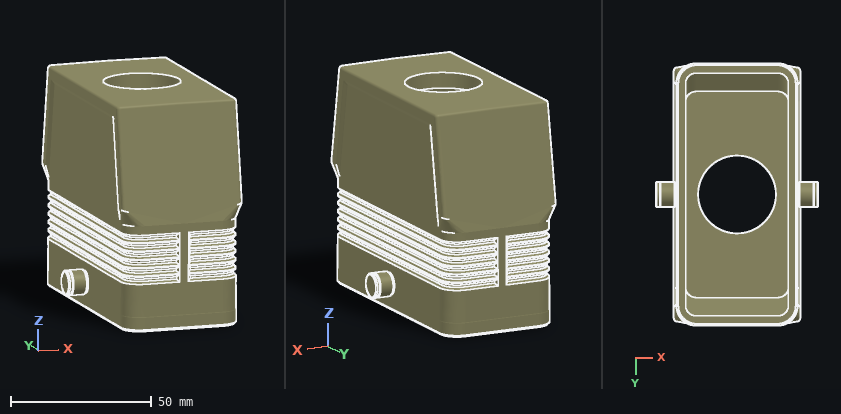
import cadquery as cq
import math

half_length = 46.75
half_width = 21.6
height = 81.25
corner_radius = 7.0

lip_top = 5.1
lip_chamfer = 0.75
lip_ledge = 0.05
lip_ledge_height = 0.3
wall_start = lip_top + lip_ledge_height
neck_top = 38.4
neck_inset = 0.23

groove_count = 6
groove_band_bottom = 17.3
groove_depth = 0.9
groove_floor = 0.8
groove_mouth = groove_floor + 2 * groove_depth
rib_land = 0.31
groove_pitch = groove_mouth + rib_land
groove_band_top = groove_band_bottom + groove_count * groove_mouth + (groove_count - 1) * rib_land
bridge_half_width = 1.5

hood_half_width = 22.6
hood_start = 44.2
end_slope = math.tan(math.radians(10))
neck_half_length = half_length - neck_inset
end_ridge = 0.23
roof_ridge = 0.2
hood_edge_radius = 1.4

panel_depth = 0.9
panel_margin = 5.3
panel_top = 76.7
panel_wall_run = 1.6
panel_corner_radius = 1.1
panel_blend_radius = 0.75

hole_diameter = 27.7
wall = 3.3
roof_thickness = 5.8
pin_span = 58.0
pin_diameter = 9.1
pin_height = 9.6
pin_chamfer = 0.5
pin_neck = 0.75
pin_ring_position = 1.4
pin_ring_width = 0.4
pin_ring_depth = 0.14

selection_slack = 0.1


def end_at(z):
    """Half length of the hood along its end ridge at height z."""
    return neck_half_length - (z - neck_top) * end_slope


def rounded_rect(half_x, half_y, radius, z):
    sketch = cq.Sketch().rect(2 * half_x, 2 * half_y).vertices().fillet(radius)
    return sketch.moved(cq.Location(cq.Vector(0, 0, z)))


def ruled_loft(lower, upper):
    return cq.Workplane("XY").placeSketch(lower, upper).loft(ruled=True)


def body_section(inset, z):
    return rounded_rect(half_width - inset, half_length - inset, corner_radius - inset, z)


def draft_inset(z):
    """Inset of the smooth wall from the lip at height z."""
    share = (z - wall_start) / (neck_top - wall_start)
    return lip_ledge + share * (neck_inset - lip_ledge)


def make_lip():
    lip = ruled_loft(body_section(0, 0), body_section(0, lip_top)).faces("<Z").chamfer(lip_chamfer)
    ledge = ruled_loft(body_section(0, lip_top), body_section(lip_ledge, wall_start))
    return lip.union(ledge)


def groove_cutter(z_low):
    """Trapezoidal groove running all round the wall."""
    z_high = z_low + groove_mouth
    floor_low = z_low + groove_depth
    floor_high = floor_low + groove_floor
    floor_inset = draft_inset(z_low) + groove_depth
    sections = [
        body_section(draft_inset(z_low), z_low),
        body_section(floor_inset, floor_low),
        body_section(floor_inset, floor_high),
        body_section(draft_inset(z_high), z_high),
    ]
    core = cq.Workplane("XY")
    for lower, upper in zip(sections, sections[1:]):
        core = core.add(ruled_loft(lower, upper))
    core = core.combine()
    slab = cq.Workplane("XY", origin=(0, 0, z_low)).rect(2 * half_width, 2 * half_length)
    return slab.extrude(groove_mouth).cut(core)


def bridge_keeper():
    """Strip across both ends that stays ungrooved, with 45 degree flanks."""
    root = bridge_half_width + half_length
    outline = [
        (bridge_half_width, -half_length),
        (root, 0),
        (bridge_half_width, half_length),
        (-bridge_half_width, half_length),
        (-root, 0),
        (-bridge_half_width, -half_length),
    ]
    prism = cq.Workplane("XY", origin=(0, 0, groove_band_bottom)).polyline(outline).close()
    prism = prism.extrude(groove_band_top - groove_band_bottom)
    middle = cq.Workplane("XY").box(2 * half_width, 2 * (half_length - 3 * groove_depth), 2 * height)
    return prism.cut(middle)


def make_wall():
    body = ruled_loft(body_section(lip_ledge, wall_start), body_section(neck_inset, neck_top))
    keeper = bridge_keeper()
    for index in range(groove_count):
        groove = groove_cutter(groove_band_bottom + index * groove_pitch)
        body = body.cut(groove.cut(keeper))
    return body


def make_shoulder():
    """Flare from the rounded neck out to the sharper hood corners."""
    neck = body_section(neck_inset, neck_top)
    hood = rounded_rect(hood_half_width, end_at(hood_start) - end_ridge, hood_edge_radius, hood_start)
    return ruled_loft(neck, hood)


def hood_outline(z):
    half_y = end_at(z)
    corner_y = half_y - end_ridge
    points = [
        (hood_half_width, -corner_y),
        (hood_half_width, corner_y),
        (0, half_y),
        (-hood_half_width, corner_y),
        (-hood_half_width, -corner_y),
        (0, -half_y),
    ]
    return cq.Sketch().polygon(points + points[:1]).moved(cq.Location(cq.Vector(0, 0, z)))


def front_prism(points):
    """Outline in X and Z carried along the whole length."""
    return cq.Workplane("XZ").polyline(points).close().extrude(half_length, both=True)


def make_hood():
    eave = height - roof_ridge
    roof = front_prism([
        (-hood_half_width, 0), (hood_half_width, 0),
        (hood_half_width, eave), (0, height), (-hood_half_width, eave),
    ])
    hood = ruled_loft(hood_outline(neck_top), hood_outline(height)).intersect(roof)
    above_base = cq.selectors.BoxSelector(
        (-half_length, -half_length, neck_top + selection_slack),
        (half_length, half_length, height + selection_slack),
    )
    ridge_lines = cq.selectors.BoxSelector(
        (-selection_slack, -half_length, 0), (selection_slack, half_length, height + selection_slack)
    )
    hood = hood.edges(above_base - ridge_lines).fillet(hood_edge_radius)
    v_base = front_prism([
        (0, neck_top), (hood_half_width, hood_start), (hood_half_width, height),
        (-hood_half_width, height), (-hood_half_width, hood_start),
    ])
    return hood.intersect(v_base)


def panel_outline(margin, top, radius, x):
    base = neck_top
    half_base = end_at(base) - margin
    half_top = end_at(top) - margin
    corners = [(-half_base, base), (half_base, base), (half_top, top), (-half_top, top)]
    sketch = cq.Sketch().polygon(corners + corners[:1]).vertices(">Y").fillet(radius)
    return sketch.moved(cq.Location(cq.Vector(0, 0, x)))


def panel_cutter():
    """Recess on the +X side with sloping walls, open at its lower edge."""
    outer = panel_outline(panel_margin, panel_top, panel_corner_radius, hood_half_width)
    floor = panel_outline(
        panel_margin + panel_wall_run, panel_top - panel_wall_run, panel_corner_radius / 2,
        hood_half_width - panel_depth,
    )
    cutter = cq.Workplane("YZ").placeSketch(floor, outer).loft(ruled=True)
    foot = cutter.faces("<X").edges("not <Z")
    return foot.fillet(panel_blend_radius)


def round_panel_rims(hood):
    """Round the rim of both recesses where it lies in the flat hood sides."""
    reach_y = end_at(neck_top) - panel_margin
    for side in (-1, 1):
        x = side * hood_half_width
        rim_zone = cq.selectors.BoxSelector(
            (x - selection_slack, -reach_y, hood_start + selection_slack),
            (x + selection_slack, reach_y, panel_top + selection_slack),
        )
        hood = hood.edges(rim_zone).fillet(panel_blend_radius)
    return hood


def make_cavity():
    """Hollow below the roof, open at the bottom."""
    ceiling = height - roof_thickness
    half_x = half_width - wall
    radius = corner_radius - wall
    straight_y = end_at(neck_top) - wall
    bottom = rounded_rect(half_x, straight_y, radius, 0)
    middle = rounded_rect(half_x, straight_y, radius, neck_top)
    top = rounded_rect(half_x, end_at(ceiling) - wall, radius, ceiling)
    return ruled_loft(bottom, middle).union(ruled_loft(middle, top))


def make_pin():
    """Locking pin on the +X side, turned from a radius profile along its axis."""
    radius = pin_diameter / 2
    small_radius = radius - pin_chamfer
    root = half_width - wall / 2
    neck_end = half_width + pin_neck
    tip = pin_span / 2
    ring_end = tip - pin_ring_position
    ring_start = ring_end - pin_ring_width
    profile = [
        (root, 0), (root, small_radius), (neck_end - pin_chamfer, small_radius), (neck_end, radius),
        (ring_start, radius), (ring_start, radius - pin_ring_depth),
        (ring_end, radius - pin_ring_depth), (ring_end, radius),
        (tip - pin_chamfer, radius), (tip, small_radius), (tip, 0),
    ]
    pin = cq.Workplane("XY").polyline(profile).close().revolve(360, (0, 0, 0), (1, 0, 0))
    return pin.translate((0, 0, pin_height))


def on_both_sides(feature):
    return feature.union(feature.mirror("YZ"))


body = make_lip().union(make_wall()).union(make_shoulder()).union(make_hood())
body = round_panel_rims(body.cut(on_both_sides(panel_cutter())))
body = body.cut(make_cavity())
body = body.union(on_both_sides(make_pin()))
cable_hole = cq.Workplane("XY", origin=(0, 0, height / 2)).circle(hole_diameter / 2).extrude(height)
result = body.cut(cable_hole)